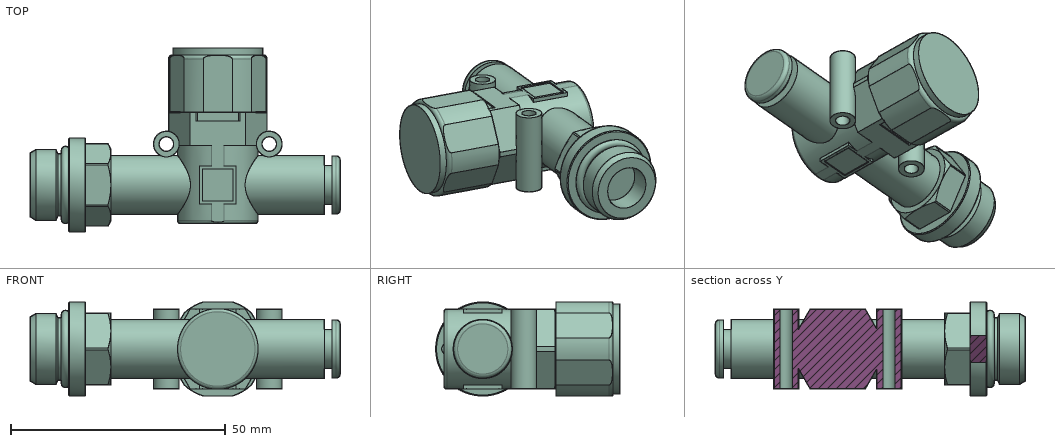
import cadquery as cq
import math


run_diameter = 13.8
run_start = -25.0
run_end = 24.9
branch_diameter = 18.8
branch_start = -9.05
branch_fillet = 0.7
body_height = 18.6
body_top = body_height / 2
hex_start = 9.3
body_hex_end = 16.9
body_hex_flats = 20.5
neck_diameter = 17.7
neck_length = 0.2

pad_width = 8.55
pad_length = 9.0
pad_rim = 0.7
pad_recess_depth = 0.3

notch_width = 10.3
notch_length = 1.9
notch_depth = 0.35
notch_end_slope = 45

lug_diameter = 6.0
lug_hole_diameter = 3.3
lug_x = 12.0
lug_y = 9.55

nut_start = body_hex_end + neck_length
nut_hex_end = 30.4
nut_end = 32.0
nut_flats = 22.0
nut_corner_diameter = 23.0
nut_collar_diameter = 21.1

stud_start = -43.8
thread_diameter = 16.65
thread_tip_diameter = 15.0
thread_tip_length = 1.4
thread_end = -37.8
thread_runout = 0.4
groove_diameter = 14.6
flange_start = -34.8
flange_end = -30.85
flange_diameter = 22.0
flange_chamfer = 0.2
bead_start = -36.55
bead_diameter = 18.1
bead_section = 1.95
stud_hex_flats = 16.9
stud_hex_corner_diameter = 19.25
stud_hex_chamfer_length = 0.65
bore_diameter = 10.0
bore_depth = 5.8

collar_neck_diameter = 9.2
collar_rim_diameter = 13.6
collar_rim_start = 26.65
collar_end = 28.6
collar_fillet = 0.95


def along_x(diameter, start, end):
    return cq.Workplane("YZ", origin=(start, 0, 0)).circle(diameter / 2).extrude(end - start)


def along_y(diameter, start, end):
    return cq.Workplane("XZ", origin=(0, start, 0)).circle(diameter / 2).extrude(start - end)


def hexagon(plane, origin, flats, length):
    """Hexagonal bar with two corners on the plane's local X axis."""
    corner_to_corner = flats / math.cos(math.pi / 6)
    return cq.Workplane(plane, origin=origin).polygon(6, corner_to_corner).extrude(length)


def make_pad(side):
    """Square pad with a shallow recess; side is 1 for the top and -1 for the bottom."""
    block = cq.Workplane("XY").rect(pad_width, pad_length).extrude(side * body_top)
    recess = (
        cq.Workplane("XY", origin=(0, 0, side * (body_top - pad_recess_depth)))
        .rect(pad_width - 2 * pad_rim, pad_length - 2 * pad_rim)
        .extrude(side * pad_recess_depth)
    )
    return block, recess


def make_notch(side):
    """Cutter with a trapezoid section that widens outward to the body's flat."""
    floor_half = notch_width / 2 - notch_depth / math.tan(math.radians(notch_end_slope))
    floor_z = side * (body_top - notch_depth)
    outline = [
        (-notch_width / 2, side * body_top),
        (-floor_half, floor_z),
        (floor_half, floor_z),
        (notch_width / 2, side * body_top),
    ]
    return cq.Workplane("XZ", origin=(0, body_hex_end, 0)).polyline(outline).close().extrude(notch_length)


def make_body():
    run = along_x(run_diameter, run_start, run_end)
    branch = along_y(branch_diameter, branch_start, hex_start)
    branch = branch.faces("<Y").edges().fillet(branch_fillet)
    hex_length = body_hex_end - hex_start
    hex_block = hexagon("XZ", (0, body_hex_end, 0), body_hex_flats, hex_length)
    hex_block = hex_block.intersect(along_y(nut_corner_diameter, hex_start, body_hex_end))
    branch = branch.union(hex_block)

    slab_size = 4 * run_end
    branch = branch.intersect(cq.Workplane("XY").box(slab_size, slab_size, body_height))
    body = run.union(branch).union(along_y(neck_diameter, hex_start, nut_start))

    lug_centres = [(-lug_x, lug_y), (lug_x, lug_y)]
    lugs = cq.Workplane("XY", origin=(0, 0, -body_top)).pushPoints(lug_centres)
    body = body.union(lugs.circle(lug_diameter / 2).extrude(body_height))
    body = body.cut(lugs.circle(lug_hole_diameter / 2).extrude(body_height))

    for side in (1, -1):
        block, recess = make_pad(side)
        body = body.union(block).cut(recess).cut(make_notch(side))
    return body


def make_nut():
    bar = along_y(nut_corner_diameter, nut_start, nut_hex_end)
    bar = bar.faces(">Y").edges().fillet((nut_corner_diameter - nut_collar_diameter) / 2)
    hex_block = hexagon("XZ", (0, nut_hex_end, 0), nut_flats, nut_hex_end - nut_start)
    return hex_block.intersect(bar).union(along_y(nut_collar_diameter, nut_hex_end, nut_end))


def make_stud():
    tip_drop = (thread_diameter - thread_tip_diameter) / 2
    runout_drop = (thread_diameter - groove_diameter) / 2
    thread = along_x(thread_diameter, stud_start, thread_end + thread_runout)
    thread = thread.faces("<X").chamfer(thread_tip_length, tip_drop)
    thread = thread.faces(">X").chamfer(thread_runout, runout_drop)
    groove = along_x(groove_diameter, thread_end, flange_start)
    flange = along_x(flange_diameter, flange_start, flange_end).edges().chamfer(flange_chamfer)

    bead_x = bead_start + bead_section / 2
    bead_radius = (bead_diameter - bead_section) / 2
    bead = cq.Workplane("XY").moveTo(bead_x, bead_radius).circle(bead_section / 2)
    bead = bead.revolve(360, (0, 0), (1, 0))

    bar = along_x(stud_hex_corner_diameter, flange_end, run_start)
    corner_drop = (stud_hex_corner_diameter - stud_hex_flats) / 2
    bar = bar.faces(">X").chamfer(stud_hex_chamfer_length, corner_drop)
    hex_block = hexagon("YZ", (flange_end, 0, 0), stud_hex_flats, run_start - flange_end)
    hex_block = hex_block.intersect(bar)

    stud = thread.union(groove).union(bead).union(flange).union(hex_block)
    return stud.cut(along_x(bore_diameter, stud_start, stud_start + bore_depth))


def make_collar():
    neck = along_x(collar_neck_diameter, run_end, collar_rim_start)
    rim = along_x(collar_rim_diameter, collar_rim_start, collar_end)
    return neck.union(rim.faces(">X").edges().fillet(collar_fillet))


body = make_body()
nut = make_nut()
stud = make_stud()
collar = make_collar()
result = cq.Compound.makeCompound([body.val(), nut.val(), stud.val(), collar.val()])